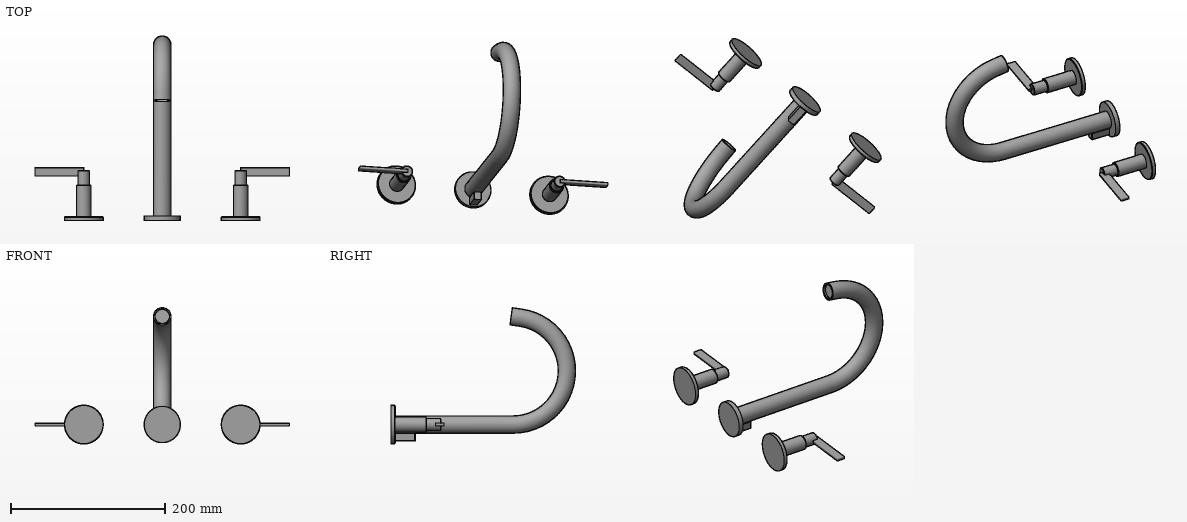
import cadquery as cq
import math

TUBE_DIAMETER = 22.8
BEND_RADIUS = 69.7
OUTLET_TILT = 8.0
OUTLET_LENGTH = 12.5
OVERALL_DEPTH = 239.7
RECESS_DIAMETER = 18.8
RECESS_DEPTH = 2.5
SPOUT_FLANGE_DIAMETER = 47.2
SPOUT_FLANGE_THICKNESS = 6.3

BAR_SIDE = 10.0
BAR_LENGTH = 25.5

HANDLE_OFFSET = 101.7
HANDLE_FLANGE_DIAMETER = 50.5
HANDLE_FLANGE_THICKNESS = 5.3
BODY_DIAMETER = 19.0
BODY_TOP = 46.2
NECK_DIAMETER = 15.2
NECK_TOP = 65.0
LEVER_TIP = 165.0
LEVER_TOP = 69.0
LEVER_WIDTH = 11.2
LEVER_THICKNESS = 4.0
LEVER_EDGE_FILLET = 0.5
LEVER_TIP_FILLET = 1.3

EDGE_CHAMFER = 0.83

tube_radius = TUBE_DIAMETER / 2
bend_start = OVERALL_DEPTH - BEND_RADIUS - tube_radius
lever_length = LEVER_TIP - HANDLE_OFFSET


def disc(diameter, height):
    """A cylinder about the Y axis from Y = 0 to Y = height."""
    plane = cq.Plane(origin=(0, 0, 0), xDir=(0, 0, 1), normal=(0, 1, 0))
    return cq.Workplane(plane).circle(diameter / 2).extrude(height)


def chamfered_disc(diameter, height):
    """A disc with its far rim chamfered."""
    return disc(diameter, height).faces(">Y").chamfer(EDGE_CHAMFER)


def make_spout():
    """The bent tube with its flange and the shallow recess in its outlet."""
    tilt = math.radians(OUTLET_TILT)
    flow_y = -math.cos(tilt)
    flow_z = math.sin(tilt)

    bend_middle = (bend_start + BEND_RADIUS, BEND_RADIUS)
    bend_end = (
        bend_start + BEND_RADIUS * math.sin(tilt),
        BEND_RADIUS * (1 + math.cos(tilt)),
    )
    outlet = (bend_end[0] + OUTLET_LENGTH * flow_y, bend_end[1] + OUTLET_LENGTH * flow_z)
    centre_line = (
        cq.Workplane("YZ")
        .lineTo(bend_start, 0)
        .threePointArc(bend_middle, bend_end)
        .lineTo(*outlet)
    )

    section = cq.Plane(origin=(0, 0, 0), xDir=(0, 0, 1), normal=(0, 1, 0))
    tube = cq.Workplane(section).circle(tube_radius).sweep(centre_line)

    outlet_face = cq.Plane(origin=(0, *outlet), xDir=(1, 0, 0), normal=(0, -flow_y, -flow_z))
    recess = cq.Workplane(outlet_face).circle(RECESS_DIAMETER / 2).extrude(RECESS_DEPTH)

    flange = disc(SPOUT_FLANGE_DIAMETER, SPOUT_FLANGE_THICKNESS)
    return tube.union(flange).cut(recess)


def make_bar():
    """A square bar that stands on the spout flange and touches the underside of the tube."""
    return (
        cq.Workplane("XY")
        .box(BAR_SIDE, BAR_LENGTH, BAR_SIDE, centered=(True, False, False))
        .faces(">Y")
        .edges("|Z")
        .chamfer(EDGE_CHAMFER)
        .translate((0, SPOUT_FLANGE_THICKNESS, -tube_radius - BAR_SIDE))
    )


def make_lever():
    """A flat lever from the stem axis towards +X, with a rounded tip and softened long edges."""
    return (
        cq.Workplane("XY")
        .box(lever_length, LEVER_WIDTH, LEVER_THICKNESS, centered=(False, False, True))
        .faces(">X")
        .edges("|Y")
        .fillet(LEVER_TIP_FILLET)
        .faces("<Y or >Y")
        .edges("not <X")
        .fillet(LEVER_EDGE_FILLET)
        .translate((0, LEVER_TOP - LEVER_WIDTH, 0))
    )


def make_handle(side):
    """One handle with its lever pointing outwards; side is -1 on the -X side and 1 on the +X side."""
    flange = chamfered_disc(HANDLE_FLANGE_DIAMETER, HANDLE_FLANGE_THICKNESS)
    body = chamfered_disc(BODY_DIAMETER, BODY_TOP)
    neck = chamfered_disc(NECK_DIAMETER, NECK_TOP)
    handle = flange.union(body).union(neck).union(make_lever())
    if side < 0:
        handle = handle.mirror("YZ")
    return handle.translate((side * HANDLE_OFFSET, 0, 0))


spout = make_spout()
bar = make_bar()
handles = [make_handle(side) for side in (-1, 1)]

result = cq.Compound.makeCompound([spout.val(), bar.val(), *[handle.val() for handle in handles]])